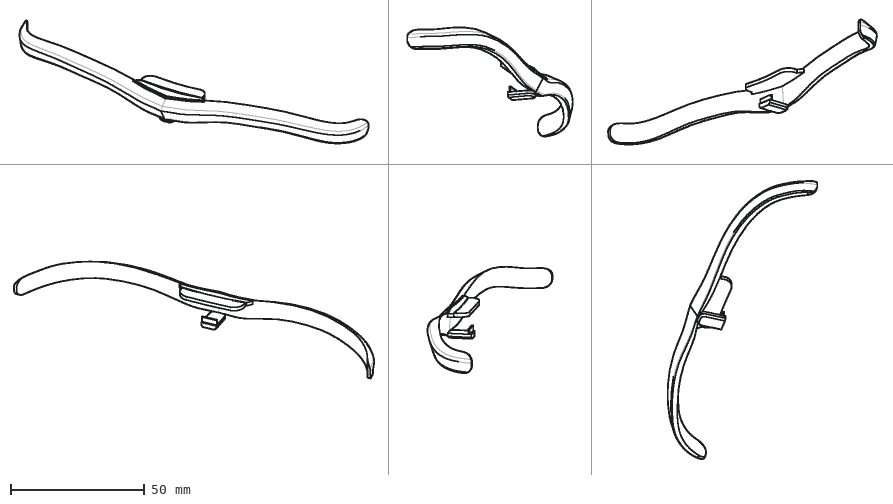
import cadquery as cq
import math

HALF_LENGTH = 73.8
REAR_Y = 13.9
NOSE_Y = -14.0
BOTTOM_Z = -8.0

STATIONS = [
    (0.0, NOSE_Y, 4.4, 3.1, -6.6, 2.7),
    (7.4, -13.3, 4.5, 3.5, -5.8, 2.4),
    (14.8, -12.4, 4.7, 4.5, -4.1, 2.0),
    (25.1, -11.7, 4.7, 6.5, -1.2, 1.8),
    (36.9, -10.6, 4.5, 7.7, 0.1, 1.5),
    (48.7, -8.3, 4.3, 7.7, 0.1, 1.3),
    (59.0, -4.9, 3.7, 6.2, -1.6, 1.0),
    (65.7, -1.2, 3.2, 4.7, -3.2, 0.7),
    (69.6, 2.8, 3.0, 3.7, -4.1, 0.6),
    (71.7, 5.9, 2.8, 3.4, -4.4, 0.5),
    (73.2, 10.0, 2.2, 3.2, -4.5, 0.3),
    (HALF_LENGTH, REAR_Y, 1.2, 3.1, -4.5, 0.1),
]

TOP_SLOPE_DROP = 0.26
NOSE_DROP = 0.44
TOP_SETBACK = 0.2
NOSE_ROUND_SETBACK = 0.05
BOTTOM_BEVEL_RISE = 0.08
BOTTOM_BEVEL_RUN = 0.2
BACK_LEAN = 0.3

TIP_CORNER_RADIUS = 3.2

TAB_HALF_WIDTH = 13.4
TAB_REAR_HALF_WIDTH = 13.1
TAB_REAR_Y = -0.5
TAB_REAR_DIP = 0.5
TAB_STEP_Y = -5.8
TAB_FRONT_Y = -10.5
TAB_SIDE_Z = 4.4
TAB_FRONT_MIDDLE_Z = 3.1
TAB_REAR_MIDDLE_Z = 3.7
TAB_THICKNESS = 1.5
TAB_CORNER_RADIUS = 3.8
TAB_FLARE = 1.8
TAB_FLARE_Y = -7.5
TAB_ROOT_Y = -8.3

FOOT_HALF_WIDTH = 3.1
FOOT_TOP_Z = -6.0
FOOT_FRONT_Y = -10.9
FOOT_REAR_Y = -1.0
FOOT_CHAMFER = 0.7
FOOT_CORNER_RADIUS = 2.2
LIP_TOP_Z = -4.0
LIP_Y = -1.6
LIP_THICKNESS = 0.6


def bar_section(station, heading):
    """Closed section of the bar, square to the heading of its front edge."""
    x, y, thickness, top, bottom, setback = station
    height = top - bottom
    inward_x = -math.sin(heading)
    inward_y = math.cos(heading)

    def at(depth, z):
        return cq.Vector(x + depth * inward_x, y + depth * inward_y, z)

    back_top = at(thickness, top)
    top_front = at(TOP_SETBACK * thickness, top - TOP_SLOPE_DROP * height)
    round_middle = at(NOSE_ROUND_SETBACK * thickness, top - (TOP_SLOPE_DROP + NOSE_DROP) / 2 * height)
    nose = at(0, top - NOSE_DROP * height)
    front_low = at(setback, bottom + BOTTOM_BEVEL_RISE * height)
    back_depth = thickness - BACK_LEAN * setback
    bevel_low = at(setback + BOTTOM_BEVEL_RUN * (back_depth - setback), bottom)
    back_low = at(back_depth, bottom)
    return cq.Wire.assembleEdges([
        cq.Edge.makeLine(back_top, top_front),
        cq.Edge.makeThreePointArc(top_front, round_middle, nose),
        cq.Edge.makeLine(nose, front_low),
        cq.Edge.makeLine(front_low, bevel_low),
        cq.Edge.makeLine(bevel_low, back_low),
        cq.Edge.makeLine(back_low, back_top),
    ])


def station_heading(index):
    """Direction of the front edge at a station; square to Y in the middle."""
    if index == 0:
        return 0.0
    before = STATIONS[index - 1]
    after = STATIONS[min(index + 1, len(STATIONS) - 1)]
    return math.atan2(after[1] - before[1], after[0] - before[0])


def tip_corner_cutter():
    """What lies outside the rounded end of the tip, across the whole length."""
    top, bottom = STATIONS[-1][3], STATIONS[-1][4]
    radius = TIP_CORNER_RADIUS
    cutter = (
        cq.Workplane("YZ")
        .rect(4 * radius, 4 * radius)
        .extrude(HALF_LENGTH, both=True)
        .translate((0, REAR_Y + radius, (top + bottom) / 2))
    )
    kept = (
        cq.Workplane("YZ")
        .center(REAR_Y - 2 * radius, (top + bottom) / 2)
        .rect(4 * radius, top - bottom)
        .extrude(HALF_LENGTH, both=True)
        .edges("|X and >Y")
        .fillet(radius)
    )
    return cutter.cut(kept)


def bar():
    sections = [bar_section(s, station_heading(i)) for i, s in enumerate(STATIONS)]
    half = cq.Workplane(obj=cq.Solid.makeLoft(sections)).cut(tip_corner_cutter())
    return half.union(half.mirror("YZ"))


def sagging_plate(middle_z, front_y, rear_y):
    """Plate whose top and bottom are hollow arcs, running along Y."""
    half = TAB_HALF_WIDTH + TAB_FLARE
    return (
        cq.Workplane("XZ", origin=(0, rear_y, 0))
        .moveTo(-half, TAB_SIDE_Z)
        .threePointArc((0, middle_z), (half, TAB_SIDE_Z))
        .line(0, -TAB_THICKNESS)
        .threePointArc((0, TAB_REAR_MIDDLE_Z - TAB_THICKNESS), (-half, TAB_SIDE_Z - TAB_THICKNESS))
        .close()
        .extrude(rear_y - front_y)
    )


def tab():
    """Upper tab: the front panel sags deeper than the rear one, leaving a step."""
    rear = sagging_plate(TAB_REAR_MIDDLE_Z, TAB_STEP_Y, TAB_REAR_Y)
    front = sagging_plate(TAB_FRONT_MIDDLE_Z, TAB_FRONT_Y, TAB_STEP_Y)
    return rear.union(front)


def tab_outline():
    """Plan shape of the tab, with rounded rear corners and flared roots."""
    height = 2 * TAB_SIDE_Z
    rear = (
        cq.Workplane("XY")
        .moveTo(-TAB_REAR_HALF_WIDTH, TAB_STEP_Y)
        .lineTo(TAB_REAR_HALF_WIDTH, TAB_STEP_Y)
        .lineTo(TAB_REAR_HALF_WIDTH, TAB_REAR_Y)
        .threePointArc((0, TAB_REAR_Y - TAB_REAR_DIP), (-TAB_REAR_HALF_WIDTH, TAB_REAR_Y))
        .close()
        .extrude(height)
        .edges("|Z and >Y")
        .fillet(TAB_CORNER_RADIUS)
    )
    flare_half_width = TAB_HALF_WIDTH + TAB_FLARE
    front = (
        cq.Workplane("XY")
        .moveTo(-TAB_HALF_WIDTH, TAB_STEP_Y)
        .lineTo(TAB_HALF_WIDTH, TAB_STEP_Y)
        .lineTo(flare_half_width, TAB_FLARE_Y)
        .lineTo(flare_half_width, TAB_ROOT_Y)
        .lineTo(0, TAB_FRONT_Y)
        .lineTo(-flare_half_width, TAB_ROOT_Y)
        .lineTo(-flare_half_width, TAB_FLARE_Y)
        .close()
        .extrude(height)
    )
    return rear.union(front)


def foot():
    """Lower foot with a thin upright lip near its rear end."""
    width = 2 * FOOT_HALF_WIDTH
    plate = (
        cq.Workplane("XY")
        .box(width, FOOT_REAR_Y - FOOT_FRONT_Y, FOOT_TOP_Z - BOTTOM_Z, centered=(True, False, False))
        .translate((0, FOOT_FRONT_Y, BOTTOM_Z))
        .edges("|Z and <Y")
        .fillet(FOOT_CORNER_RADIUS)
        .faces("<Z")
        .edges("|Y")
        .chamfer(FOOT_CHAMFER)
    )
    lip = (
        cq.Workplane("XY")
        .box(width, LIP_THICKNESS, LIP_TOP_Z - BOTTOM_Z - FOOT_CHAMFER, centered=(True, False, False))
        .translate((0, LIP_Y - LIP_THICKNESS, BOTTOM_Z + FOOT_CHAMFER))
    )
    return plate.union(lip)


result = bar().union(tab().intersect(tab_outline())).union(foot())